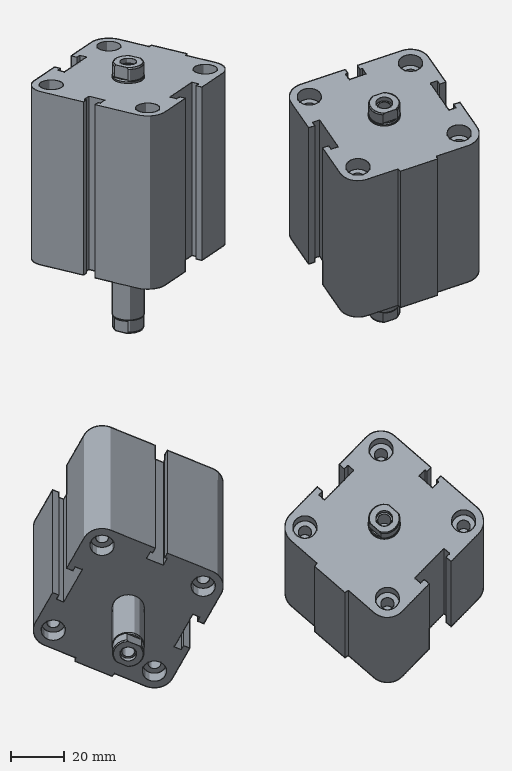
import cadquery as cq


housing_width = 57.0
housing_height = 70.7
corner_radius = 7.5

rail_height = 1.5
rail_crest_width = 15.4
rail_foot_width = 16.1

side_slot_mouth_width = 12.0
side_slot_groove_width = 16.1
side_slot_lip = 2.6
front_slot_mouth_width = 5.0
front_slot_groove_width = 6.9
front_slot_lip = 2.3
slot_depth = 5.5

mount_spacing = 42.0
mount_counterbore_diameter = 9.0
mount_counterbore_depth = 5.5
mount_hole_diameter = 4.9
mount_hole_depth = 14.6

rod_length = 108.5
rod_diameter = 12.0
rod_top_stickout = 6.3

chamfer_width = 0.3
chamfer_height = 0.7

tip_diameter = 11.7
tip_length = 5.0
flat_spacing = 10.1

bore_mouth_diameter = 6.2
bore_mouth_depth = 2.0
bore_diameter = 4.9
bore_depth = 12.0

rod_top = housing_height + rod_top_stickout
rod_middle = rod_top - rod_length / 2


def make_t_slot(mouth_width, groove_width, lip):
    """Cutter for a T-slot over the full height, open toward -Y."""
    face_y = -housing_width / 2
    mouth = cq.Workplane("XY").box(mouth_width, slot_depth, housing_height, centered=(True, False, False))
    groove = (
        cq.Workplane("XY")
        .box(groove_width, slot_depth - lip, housing_height, centered=(True, False, False))
        .translate((0, lip, 0))
    )
    return mouth.union(groove).translate((0, face_y, 0))


def make_rail():
    """Rail over the full height of the +Y side."""
    face_y = housing_width / 2
    crest_y = face_y + rail_height
    return (
        cq.Workplane("XY")
        .polyline([
            (-rail_foot_width / 2, face_y),
            (rail_foot_width / 2, face_y),
            (rail_crest_width / 2, crest_y),
            (-rail_crest_width / 2, crest_y),
        ])
        .close()
        .extrude(housing_height)
    )


def drill_mounting_holes(body, end_face):
    """Cut the four counterbored blind holes into one end face."""
    return (
        body.faces(end_face)
        .workplane(origin=(0, 0, 0))
        .rect(mount_spacing, mount_spacing, forConstruction=True)
        .vertices()
        .cboreHole(mount_hole_diameter, mount_counterbore_diameter, mount_counterbore_depth, mount_hole_depth)
    )


def make_housing():
    body = (
        cq.Workplane("XY")
        .rect(housing_width, housing_width)
        .extrude(housing_height)
        .edges("|Z")
        .fillet(corner_radius)
        .union(make_rail())
    )

    side_slot = make_t_slot(side_slot_mouth_width, side_slot_groove_width, side_slot_lip)
    for turn in (-90, 90):
        body = body.cut(side_slot.rotate((0, 0, 0), (0, 0, 1), turn))
    body = body.cut(make_t_slot(front_slot_mouth_width, front_slot_groove_width, front_slot_lip))

    for end_face in (">Z", "<Z"):
        body = drill_mounting_holes(body, end_face)

    rod_passage = cq.Workplane("XY").circle(rod_diameter / 2).extrude(housing_height)
    return body.cut(rod_passage)


def make_half_bar(diameter, bottom, top):
    """Round bar on the rod axis with a chamfered upper end."""
    radius = diameter / 2
    return (
        cq.Workplane("XZ")
        .polyline([
            (0, bottom),
            (radius, bottom),
            (radius, top - chamfer_height),
            (radius - chamfer_width, top),
            (0, top),
        ])
        .close()
        .revolve(360, (0, 0, 0), (0, 1, 0))
    )


def make_upper_half():
    """Upper half of the rod: shank, then a tip with flats that start at the top of the shoulder."""
    shoulder_top = rod_top - tip_length
    shank = make_half_bar(rod_diameter, rod_middle, shoulder_top)
    between_flats = cq.Workplane("XY", origin=(0, 0, rod_middle)).box(
        tip_diameter, flat_spacing, rod_length / 2, centered=(True, True, False)
    )
    tip = make_half_bar(tip_diameter, rod_middle, rod_top).intersect(between_flats)
    return shank.union(tip).cut(make_rod_bore())


def make_rod_bore():
    """Cutter for the stepped blind bore in the upper tip."""
    mouth = cq.Workplane("XY", origin=(0, 0, rod_top)).circle(bore_mouth_diameter / 2).extrude(-bore_mouth_depth)
    bore = cq.Workplane("XY", origin=(0, 0, rod_top)).circle(bore_diameter / 2).extrude(-bore_depth)
    return mouth.union(bore)


def make_rod():
    upper_half = make_upper_half()
    lower_half = upper_half.mirror("XY", (0, 0, rod_middle))
    return upper_half.union(lower_half)


housing = make_housing()
rod = make_rod()

result = cq.Compound.makeCompound([housing.solids().val(), rod.solids().val()])